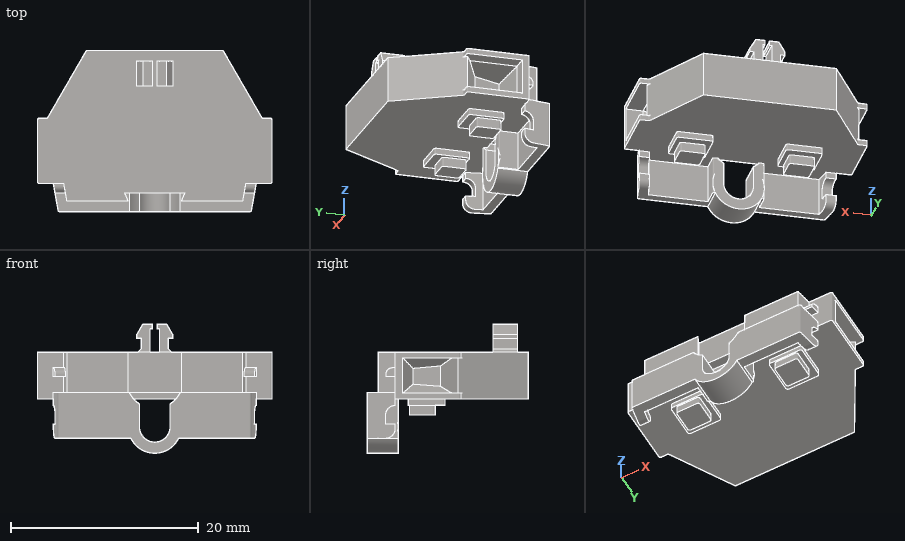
import cadquery as cq
import math


BODY_HEIGHT = 5.0
BODY_HALF_WIDTH = 12.5
SHOULDER_Y = 7.0
BODY_BACK_Y = 14.2
SLOPE_FOOT_X = 11.45
SLOPE_ANGLE = math.radians(60)
CORNER_RADIUS = 0.2

FLANK_ANGLE = math.radians(10)
BLOCK_HALF_WIDTH = 9.7
BLOCK_FRONT_Y = -1.83
GROOVE_BACK_Y = -1.0
GROOVE_BACK_HALF_WIDTH = 3.2
GROOVE_MOUTH_HALF_WIDTH = 2.85

CLIP_HALF_WIDTH = 10.82
CLIP_FRONT_Y = -3.0
CLIP_TOP_Z = 0.7
CLIP_BOTTOM_Z = -4.18

SLOT_RADIUS = 1.62
TUBE_RADIUS = 2.83
SLOT_CENTER_Z = -2.96
BOSS_BACK_Y = 0.35
TUBE_CLEARANCE = 0.2

NOTCH_TOP_Z = -0.68
NOTCH_BOTTOM_Z = -2.68
NOTCH_RADIUS = 1.03
PIN_LENGTH_Y = 1.0
PIN_TOP_Z = 3.34
PIN_HEIGHT = 0.93
PIN_RADIUS = 0.72

HOOK_FRONT_Y = 10.4
HOOK_BACK_Y = 13.06
HOOK_TOP_Z = 8.0
HOOK_LIP_Z = 7.47
HOOK_BARB_TOP_Z = 6.87
HOOK_BARB_BOTTOM_Z = 6.46
HOOK_FOOT_Z = 5.35
HOOK_GAP = 0.25
HOOK_INNER_X = 0.48
HOOK_TIP_X = 1.27
HOOK_BARB_X = 1.93
HOOK_STEM_X = 1.46
HOOK_FOOT_X = 1.8

ENTRY_FRONT_Y = 0.8
ENTRY_SLOPE_Y = 6.67
ENTRY_BOTTOM_Z = 0.62
ENTRY_TOP_Z = 4.4
MOUTH_DEPTH = 1.9
THROAT_FRONT_DEPTH = 4.7
THROAT_FRONT_Y = 1.9
THROAT_BACK_Y = 4.83
FLOOR_ANGLE = math.radians(19)
CEILING_ANGLE = math.radians(22)

FOOT_CENTER_X = 6.0
PAD_SIZE_X = 4.0
PAD_FRONT_Y = 1.37
PAD_BACK_Y = 5.33
PAD_HEIGHT = 0.68
PEG_SIZE_X = 2.8
PEG_FRONT_Y = 1.52
PEG_BACK_Y = 4.27
PEG_BOTTOM_Z = -1.72
FOOT_RADIUS = 0.25

OVERCUT = 1.0


def flank_x(half_width, y):
    """X of a tapered flank that is half_width wide at Y = 0."""
    return half_width + y * math.tan(FLANK_ANGLE)


def tapered_outline(half_width, front, back=0):
    """Symmetric XY outline between tapered flanks that is half_width wide at Y = 0."""
    return mirror_points([
        (flank_x(half_width, back), back),
        (flank_x(half_width, front), front),
    ])


def slope_x(y):
    """X of the sloped rear flank of the body at a given Y."""
    return SLOPE_FOOT_X - (y - SHOULDER_Y) / math.tan(SLOPE_ANGLE)


def mirror_points(points):
    """Close a right-hand outline with its mirror image across X = 0."""
    return points + [(-x, y) for x, y in reversed(points)]


def prism_z(points, bottom, top):
    """Extrude an XY outline between two Z levels."""
    return cq.Workplane("XY", origin=(0, 0, bottom)).polyline(points).close().extrude(top - bottom)


def prism_y(points, front, back):
    """Extrude an XZ outline between two Y planes."""
    return cq.Workplane("XZ", origin=(0, front, 0)).polyline(points).close().extrude(front - back)


def with_mirror(solid):
    """A right-hand feature together with its mirror image across X = 0."""
    return solid.union(solid.mirror("YZ"))


def make_body():
    """Body with rounded corners at the shoulders and at the feet of the slopes."""
    outline = mirror_points([
        (BODY_HALF_WIDTH, 0),
        (BODY_HALF_WIDTH, SHOULDER_Y),
        (SLOPE_FOOT_X, SHOULDER_Y),
        (slope_x(BODY_BACK_Y), BODY_BACK_Y),
    ])
    front_half = cq.selectors.BoxSelector(
        (-2 * BODY_HALF_WIDTH, -OVERCUT, -OVERCUT),
        (2 * BODY_HALF_WIDTH, SHOULDER_Y + OVERCUT, BODY_HEIGHT + OVERCUT),
    )
    return prism_z(outline, 0, BODY_HEIGHT).edges("|Z").edges(front_half).fillet(CORNER_RADIUS)


def make_block():
    """Tapered block in front of the shoulder, above the clip."""
    block = prism_z(tapered_outline(BLOCK_HALF_WIDTH, BLOCK_FRONT_Y), CLIP_TOP_Z, BODY_HEIGHT)
    groove = mirror_points([
        (GROOVE_MOUTH_HALF_WIDTH, BLOCK_FRONT_Y),
        (GROOVE_BACK_HALF_WIDTH, GROOVE_BACK_Y),
    ])
    return block.cut(prism_z(groove, CLIP_TOP_Z, BODY_HEIGHT))


def make_block_base():
    """Solid layer under the block that joins it to the walls of the clip."""
    return prism_z(tapered_outline(BLOCK_HALF_WIDTH, BLOCK_FRONT_Y), 0, CLIP_TOP_Z)


def make_clip_shell():
    """U-shaped wall: a front wall and two end walls around the outline of the block."""
    outer = tapered_outline(CLIP_HALF_WIDTH, CLIP_FRONT_Y)
    inner = tapered_outline(BLOCK_HALF_WIDTH, BLOCK_FRONT_Y, OVERCUT)
    shell = prism_z(outer, CLIP_BOTTOM_Z, CLIP_TOP_Z)
    shell = shell.edges("|Z and <Y").fillet(CORNER_RADIUS)
    shell = shell.cut(prism_z(inner, CLIP_BOTTOM_Z, CLIP_TOP_Z))
    return shell.cut(make_snap_notch())


def make_snap_notch():
    """Notch with a rounded top, and the rounding of the lower rear edge of the end walls."""
    diagonal = NOTCH_RADIUS * math.sqrt(0.5)
    arc_center_z = NOTCH_TOP_Z - NOTCH_RADIUS
    round_center_z = CLIP_BOTTOM_Z + NOTCH_RADIUS
    width = 2 * (CLIP_HALF_WIDTH + OVERCUT)
    plane = cq.Workplane("YZ", origin=(-width / 2, 0, 0))
    notch = (
        plane.moveTo(0, NOTCH_TOP_Z)
        .threePointArc((-diagonal, arc_center_z + diagonal), (-NOTCH_RADIUS, arc_center_z))
        .lineTo(-NOTCH_RADIUS, NOTCH_BOTTOM_Z)
        .lineTo(0, NOTCH_BOTTOM_Z)
        .close()
        .extrude(width)
    )
    rounding = (
        plane.moveTo(0, round_center_z)
        .threePointArc(
            (diagonal - NOTCH_RADIUS, round_center_z - diagonal),
            (-NOTCH_RADIUS, CLIP_BOTTOM_Z),
        )
        .lineTo(0, CLIP_BOTTOM_Z)
        .close()
        .extrude(width)
    )
    return notch.union(rounding)


def make_screw_boss():
    """Boss below the body that thickens the front wall, with the tube around the slot."""
    boss_depth = BOSS_BACK_Y - CLIP_FRONT_Y
    boss = (
        cq.Workplane("XY", origin=(0, BOSS_BACK_Y - boss_depth / 2, CLIP_BOTTOM_Z))
        .rect(2 * TUBE_RADIUS, boss_depth)
        .extrude(-CLIP_BOTTOM_Z)
        .edges("|Z and >Y")
        .fillet(CORNER_RADIUS)
    )
    tube = (
        cq.Workplane("XZ", origin=(0, CLIP_FRONT_Y, SLOT_CENTER_Z))
        .circle(TUBE_RADIUS)
        .extrude(-boss_depth)
    )
    return boss.union(tube)


def make_slot():
    """Round-bottomed slot through the clip and its boss.

    Its flared top is a round seat, with clearance, for the tube of a like part stacked above.
    """
    depth = BOSS_BACK_Y - CLIP_FRONT_Y
    seat_z = SLOT_CENTER_Z + BODY_HEIGHT
    section = cq.Workplane("XZ", origin=(0, CLIP_FRONT_Y, 0))
    straight = prism_y(mirror_points([
        (SLOT_RADIUS, SLOT_CENTER_Z),
        (SLOT_RADIUS, CLIP_TOP_Z),
    ]), CLIP_FRONT_Y, BOSS_BACK_Y)
    round_end = section.center(0, SLOT_CENTER_Z).circle(SLOT_RADIUS).extrude(-depth)
    seat = section.center(0, seat_z).circle(TUBE_RADIUS + TUBE_CLEARANCE).extrude(-depth)
    return straight.union(round_end).union(seat)


def make_pin():
    """Quarter-round snap pin that fills the corner between the block and the shoulder."""
    bottom = PIN_TOP_Z - PIN_HEIGHT
    flat_y = PIN_RADIUS - PIN_LENGTH_Y
    center_z = PIN_TOP_Z - PIN_RADIUS
    diagonal = PIN_RADIUS * math.sqrt(0.5)
    profile = (
        cq.Workplane("YZ", origin=(BLOCK_HALF_WIDTH - OVERCUT, 0, 0))
        .moveTo(0, bottom)
        .lineTo(0, PIN_TOP_Z)
        .lineTo(flat_y, PIN_TOP_Z)
        .threePointArc((flat_y - diagonal, center_z + diagonal), (-PIN_LENGTH_Y, center_z))
        .lineTo(-PIN_LENGTH_Y, bottom)
        .close()
        .extrude(CLIP_HALF_WIDTH + OVERCUT - BLOCK_HALF_WIDTH)
    )
    flank = prism_z(tapered_outline(CLIP_HALF_WIDTH, CLIP_FRONT_Y), 0, BODY_HEIGHT)
    return profile.intersect(flank)


def make_hook():
    """Right half of the snap hook: a barbed stem with a lip over the gap."""
    return prism_y([
        (HOOK_INNER_X, BODY_HEIGHT),
        (HOOK_INNER_X, HOOK_LIP_Z),
        (HOOK_GAP, HOOK_LIP_Z),
        (HOOK_GAP, HOOK_TOP_Z),
        (HOOK_TIP_X, HOOK_TOP_Z),
        (HOOK_BARB_X, HOOK_BARB_TOP_Z),
        (HOOK_BARB_X, HOOK_BARB_BOTTOM_Z),
        (HOOK_STEM_X, HOOK_BARB_BOTTOM_Z),
        (HOOK_STEM_X, HOOK_FOOT_Z),
        (HOOK_FOOT_X, BODY_HEIGHT),
    ], HOOK_FRONT_Y, HOOK_BACK_Y)


def entry_wire(front, back, mouth_x):
    """Upright outline across the wire entry, narrowed by the ramps that start at mouth_x.

    front and back are the (X, Y) places of its two upright edges.
    """
    front_run = mouth_x - front[0]
    back_run = mouth_x - back[0]
    floor_slope = math.tan(FLOOR_ANGLE)
    ceiling_slope = math.tan(CEILING_ANGLE)
    corners = [
        (*front, ENTRY_BOTTOM_Z + front_run * floor_slope),
        (*back, ENTRY_BOTTOM_Z + back_run * floor_slope),
        (*back, ENTRY_TOP_Z - back_run * ceiling_slope),
        (*front, ENTRY_TOP_Z - front_run * ceiling_slope),
    ]
    return cq.Wire.makePolygon([cq.Vector(*corner) for corner in corners], close=True)


def entry_wall(y):
    """(X, Y) on the rear wall of the wire entry, which stands square to the sloped flank."""
    return slope_x(ENTRY_SLOPE_Y) - (ENTRY_SLOPE_Y - y) * math.tan(SLOPE_ANGLE), y


def make_wire_entry():
    """Cutting shape for the right wire entry, open through the shoulder and the slope foot."""
    outside_x = BODY_HALF_WIDTH + OVERCUT
    outside_y = SHOULDER_Y + CORNER_RADIUS
    mouth_x = BODY_HALF_WIDTH - MOUTH_DEPTH
    wall_start_x = slope_x(ENTRY_SLOPE_Y)
    mouth_front = (mouth_x, ENTRY_FRONT_Y)
    mouth_back = entry_wall(ENTRY_SLOPE_Y - (wall_start_x - mouth_x) / math.tan(SLOPE_ANGLE))
    throat_front = (BODY_HALF_WIDTH - THROAT_FRONT_DEPTH, THROAT_FRONT_Y)
    throat_back = entry_wall(THROAT_BACK_Y)
    mouth = prism_z([
        (outside_x, ENTRY_FRONT_Y),
        mouth_front,
        mouth_back,
        (wall_start_x, ENTRY_SLOPE_Y),
        (slope_x(outside_y), outside_y),
        (outside_x, outside_y),
    ], ENTRY_BOTTOM_Z, ENTRY_TOP_Z)
    throat = cq.Solid.makeLoft([
        entry_wire(mouth_front, mouth_back, mouth_x),
        entry_wire(throat_front, throat_back, mouth_x),
    ], True)
    return mouth.union(cq.Workplane(throat))


def foot_step(size_x, front, back, bottom, top):
    """Rectangular step of the right foot, with rounded upright edges."""
    return (
        cq.Workplane("XY", origin=(FOOT_CENTER_X, (front + back) / 2, bottom))
        .rect(size_x, back - front)
        .extrude(top - bottom)
        .edges("|Z")
        .fillet(FOOT_RADIUS)
    )


def make_foot():
    """Right foot: a wide pad with a narrower peg below it."""
    pad = foot_step(PAD_SIZE_X, PAD_FRONT_Y, PAD_BACK_Y, -PAD_HEIGHT, 0)
    peg = foot_step(PEG_SIZE_X, PEG_FRONT_Y, PEG_BACK_Y, PEG_BOTTOM_Z, -PAD_HEIGHT)
    return pad.union(peg)


body = make_body().cut(with_mirror(make_wire_entry()))
clip = make_clip_shell().union(make_screw_boss()).union(make_block_base()).cut(make_slot())
result = clip.union(make_block()).union(body)
for feature in (make_pin(), make_hook(), make_foot()):
    result = result.union(with_mirror(feature))